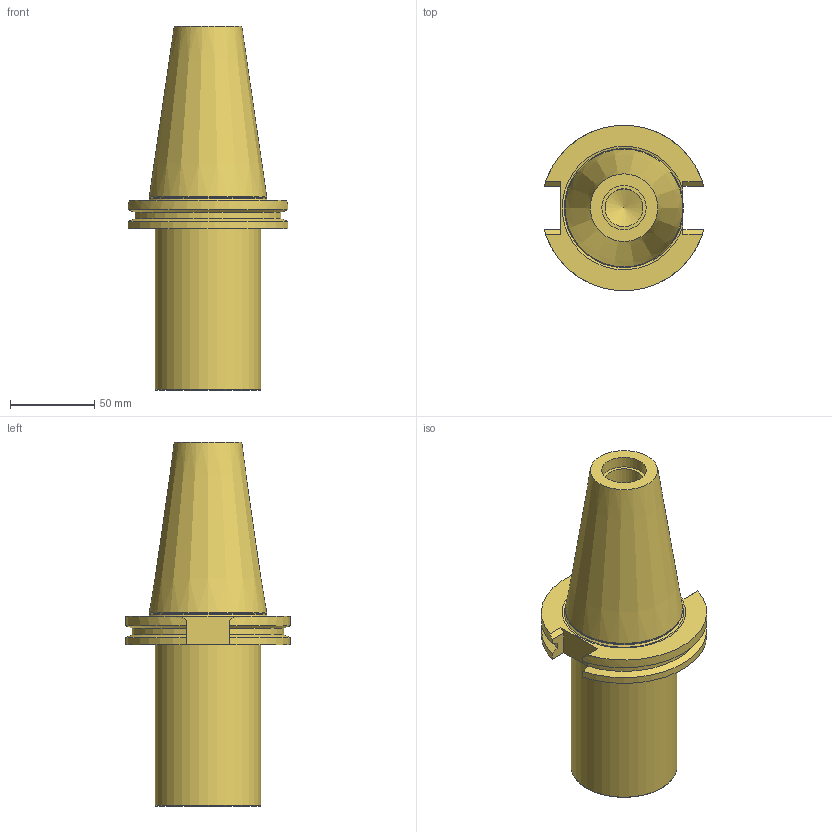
import cadquery as cq
import math


GAUGE_DIAMETER = 69.85
TAPER_RATIO = 7 / 24
TAPER_LENGTH = 101.6

NECK_DIAMETER = 69.25
NECK_TOP_Z = -0.5
NECK_BOTTOM_Z = -1.2

RELIEF_ROOT_DIAMETER = 71.0
RELIEF_RIM_DIAMETER = 73.6
RELIEF_DEPTH = 0.35

FLANGE_DIAMETER = 98.43
FLANGE_TOP_Z = -2.0
FLANGE_BOTTOM_Z = -19.05
UPPER_LIP_THICKNESS = 5.6
LOWER_LIP_THICKNESS = 4.2
GROOVE_DIAMETER = 90.5
GROOVE_FLANK_HEIGHT = 1.75

SLOT_WIDTH = 25.9
SLOT_CHAMFER = 2.6
LEFT_SLOT_FLOOR = 37.7
RIGHT_SLOT_FLOOR = 35.0

BODY_DIAMETER = 63.0
BODY_BOTTOM_Z = -115.0
BODY_CHAMFER = 0.5

COUNTERBORE_DIAMETER = 26.38
COUNTERBORE_DEPTH = 7.0
BORE_DIAMETER = 22.5
BORE_DEPTH = 45.0
DRILL_POINT_ANGLE = 140


def make_turned_body():
    """Taper, neck, grooved flange and body as one turned profile."""
    small_end_radius = (GAUGE_DIAMETER - TAPER_LENGTH * TAPER_RATIO) / 2
    flange_radius = FLANGE_DIAMETER / 2
    groove_radius = GROOVE_DIAMETER / 2
    body_radius = BODY_DIAMETER / 2
    neck_radius = NECK_DIAMETER / 2

    groove_top = FLANGE_TOP_Z - UPPER_LIP_THICKNESS
    groove_bottom = FLANGE_BOTTOM_Z + LOWER_LIP_THICKNESS

    profile = [
        (0, TAPER_LENGTH),
        (small_end_radius, TAPER_LENGTH),
        (GAUGE_DIAMETER / 2, 0),
        (neck_radius, NECK_TOP_Z),
        (neck_radius, NECK_BOTTOM_Z),
        (RELIEF_ROOT_DIAMETER / 2, FLANGE_TOP_Z - RELIEF_DEPTH),
        (RELIEF_RIM_DIAMETER / 2, FLANGE_TOP_Z),
        (flange_radius, FLANGE_TOP_Z),
        (flange_radius, groove_top),
        (groove_radius, groove_top - GROOVE_FLANK_HEIGHT),
        (groove_radius, groove_bottom + GROOVE_FLANK_HEIGHT),
        (flange_radius, groove_bottom),
        (flange_radius, FLANGE_BOTTOM_Z),
        (body_radius, FLANGE_BOTTOM_Z),
        (body_radius, BODY_BOTTOM_Z + BODY_CHAMFER),
        (body_radius - BODY_CHAMFER, BODY_BOTTOM_Z),
        (0, BODY_BOTTOM_Z),
    ]
    return cq.Workplane("XZ").polyline(profile).close().revolve(360, (0, 0), (0, 1))


def make_slot_cutter(floor_x, side):
    """Drive slot with chamfered top edges, open outward on the given side (+1 or -1)."""
    half_width = SLOT_WIDTH / 2
    chamfer_half_width = half_width + SLOT_CHAMFER
    outline = [
        (-half_width, FLANGE_BOTTOM_Z),
        (half_width, FLANGE_BOTTOM_Z),
        (half_width, FLANGE_TOP_Z - SLOT_CHAMFER),
        (chamfer_half_width, FLANGE_TOP_Z),
        (-chamfer_half_width, FLANGE_TOP_Z),
        (-half_width, FLANGE_TOP_Z - SLOT_CHAMFER),
    ]
    start_plane = cq.Workplane("YZ", origin=(side * floor_x, 0, 0))
    return start_plane.polyline(outline).close().extrude(side * FLANGE_DIAMETER / 2)


def make_bore_cutter():
    """Counterbored blind hole with a drill point."""
    counterbore_radius = COUNTERBORE_DIAMETER / 2
    bore_radius = BORE_DIAMETER / 2
    point_height = bore_radius / math.tan(math.radians(DRILL_POINT_ANGLE / 2))
    step_z = TAPER_LENGTH - COUNTERBORE_DEPTH
    bore_end_z = TAPER_LENGTH - BORE_DEPTH
    profile = [
        (0, TAPER_LENGTH),
        (counterbore_radius, TAPER_LENGTH),
        (counterbore_radius, step_z),
        (bore_radius, step_z),
        (bore_radius, bore_end_z),
        (0, bore_end_z - point_height),
    ]
    return cq.Workplane("XZ").polyline(profile).close().revolve(360, (0, 0), (0, 1))


result = (
    make_turned_body()
    .cut(make_slot_cutter(LEFT_SLOT_FLOOR, -1))
    .cut(make_slot_cutter(RIGHT_SLOT_FLOOR, 1))
    .cut(make_bore_cutter())
)